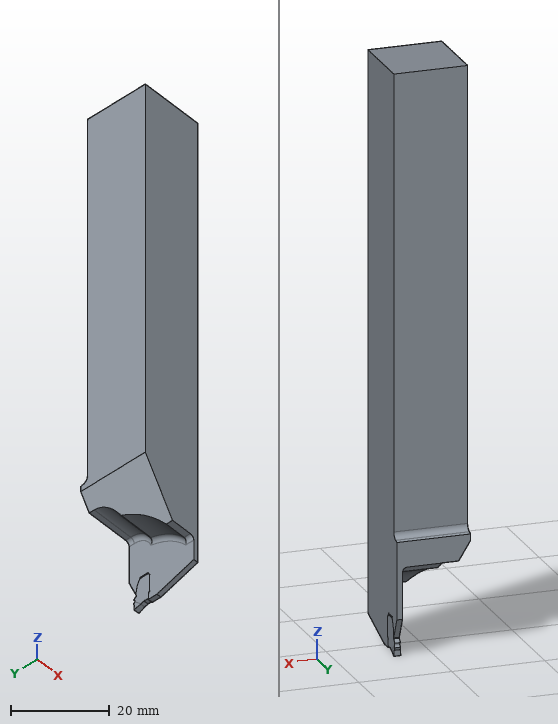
import cadquery as cq
import math


tool_length = 125.0
shank_size = 15.875

head_depth = 17.69
ledge_width = 0.75
ledge_fillet = 1.5
ledge_fillet_top_z = 26.6

flank_top_z = 23.55
flank_end_x = 8.2
flank_end_z = 10.35

nose_top_z = 8.3
heel_z = 3.95
heel_angle = 18.4
belly_z = 0.6

cutting_width = 1.5
side_flare = 0.135
blade_thickness = cutting_width - 2 * side_flare
blade_x = shank_size - blade_thickness
wall_fillet = 1.05
wall_front_z = 19.4
wall_front_length = 1.4
front_arc_middle = (13.3, 18.6)
wall_cusp = (10.95, 16.0)
rear_arc_middle = (5.9, 13.9)
rear_arc_end_y = 1.7

insert_top_z = 7.75
seat_clearance = 0.3
insert_back_y = 12.1
back_corner_drop = 0.4
back_corner_width = 0.4
foot_back_y = 12.4
foot_top_z = 2.45
foot_step_rise = 0.3
foot_bottom_z = 0.9
foot_front_y = 13.6
insert_front_top_y = 14.75
insert_front_middle = (15.5, 6.0)
neck = (15.75, 3.8)
neck_foot_drop = 0.2
rake_y = 16.45
rake_top_z = 2.9
rake_bottom_z = 1.9
chip_groove_depth = 0.35
tip_y = 16.25
tip_land_height = 1.3
relief_y = 14.5
relief_z = 0.6
flare_length = 1.7

cut_margin = 5.0


def side_plane(x):
    """YZ plane at the given X, with local axes along +Y and +Z."""
    return cq.Workplane(cq.Plane(origin=(x, 0, 0), xDir=(0, 1, 0), normal=(1, 0, 0)))


def insert_outline(x):
    """Side outline of the insert at the given X."""
    return (
        side_plane(x)
        .moveTo(foot_back_y, foot_bottom_z)
        .lineTo(foot_back_y, foot_top_z)
        .lineTo(insert_back_y, foot_top_z + foot_step_rise)
        .lineTo(insert_back_y, insert_top_z - back_corner_drop)
        .lineTo(insert_back_y + back_corner_width, insert_top_z)
        .lineTo(insert_front_top_y, insert_top_z)
        .threePointArc(insert_front_middle, neck)
        .lineTo(neck[0], neck[1] - neck_foot_drop)
        .lineTo(rake_y, rake_top_z)
        .threePointArc(
            (rake_y - chip_groove_depth, (rake_top_z + rake_bottom_z) / 2),
            (rake_y, rake_bottom_z),
        )
        .lineTo(tip_y, tip_land_height)
        .lineTo(tip_y, 0)
        .lineTo(relief_y, relief_z)
        .lineTo(foot_front_y, foot_bottom_z)
        .close()
    )


def make_holder_blank():
    """Shank and head, as one side outline extruded over the shank width."""
    fillet_run = head_depth - ledge_width - shank_size
    ledge_slope = math.asin(1 - fillet_run / ledge_fillet)
    half_sweep = (math.pi / 2 - ledge_slope) / 2
    fillet_middle = (
        shank_size + ledge_fillet * (1 - math.cos(half_sweep)),
        ledge_fillet_top_z - ledge_fillet * math.sin(half_sweep),
    )
    ledge_inner_z = ledge_fillet_top_z - ledge_fillet * math.cos(ledge_slope)
    ledge_outer_z = ledge_inner_z - ledge_width * math.tan(ledge_slope)
    heel_end_y = (heel_z - belly_z) / math.tan(math.radians(heel_angle))
    return (
        side_plane(0)
        .moveTo(0, tool_length)
        .lineTo(shank_size, tool_length)
        .lineTo(shank_size, ledge_fillet_top_z)
        .threePointArc(fillet_middle, (head_depth - ledge_width, ledge_inner_z))
        .lineTo(head_depth, ledge_outer_z)
        .lineTo(head_depth, nose_top_z)
        .lineTo(*neck)
        .lineTo(foot_back_y, belly_z)
        .lineTo(heel_end_y, belly_z)
        .lineTo(0, heel_z)
        .close()
        .extrude(shank_size)
    )


def make_flank_cut():
    """Wedge that slopes the -X side of the head."""
    rise_per_x = (flank_top_z - flank_end_z) / flank_end_x
    return (
        cq.Workplane("XZ")
        .moveTo(0, flank_top_z)
        .lineTo(flank_top_z / rise_per_x, 0)
        .lineTo(0, 0)
        .close()
        .extrude(-head_depth)
    )


def make_blade_cut():
    """Solid below the curved wall that leaves only the blade, rounded along the foot of the wall."""
    front_y = head_depth + cut_margin
    cut = (
        side_plane(-cut_margin)
        .moveTo(front_y, -cut_margin)
        .lineTo(front_y, wall_front_z)
        .lineTo(head_depth - wall_front_length, wall_front_z)
        .threePointArc(front_arc_middle, wall_cusp)
        .threePointArc(rear_arc_middle, (rear_arc_end_y, flank_end_z))
        .lineTo(-cut_margin, flank_end_z)
        .lineTo(-cut_margin, -cut_margin)
        .close()
        .extrude(blade_x + cut_margin)
    )
    tolerance = 0.01
    blade_side_edges = cut.faces(">X").edges()
    wall_foot = blade_side_edges.filter(lambda edge: edge.Center().z > flank_end_z - tolerance)
    return wall_foot.fillet(wall_fillet)


def make_insert_seat():
    """Through slot that fits the insert, with a small clearance above its flat top."""
    slot_x = blade_x - cut_margin
    slot_depth = blade_thickness + 2 * cut_margin
    slot = insert_outline(slot_x).extrude(slot_depth)
    clearance = (
        side_plane(slot_x)
        .moveTo(insert_back_y + back_corner_width, insert_top_z)
        .lineTo(insert_back_y + back_corner_width, insert_top_z + seat_clearance)
        .lineTo(insert_front_top_y, insert_top_z + seat_clearance)
        .lineTo(insert_front_top_y, insert_top_z)
        .close()
        .extrude(slot_depth)
    )
    return slot.union(clearance)


def make_holder():
    return make_holder_blank().cut(make_flank_cut()).cut(make_blade_cut()).cut(make_insert_seat())


def make_insert():
    """Insert flush with the blade sides, flaring on both sides toward the cutting tip."""
    blank = insert_outline(blade_x - side_flare).extrude(cutting_width)

    flare_step = flare_length / math.sqrt(2)
    section_plane = cq.Plane(
        origin=(blade_x + blade_thickness / 2, tip_y - flare_step, flare_step),
        xDir=(1, 0, 0),
        normal=(0, 1, 1),
    )
    half_body = blade_thickness / 2
    half_cut = cutting_width / 2
    reach = insert_top_z + cut_margin
    width_section = (
        cq.Workplane(section_plane)
        .moveTo(-half_body, -reach)
        .lineTo(-half_body, 0)
        .lineTo(-half_cut, flare_length)
        .lineTo(half_cut, flare_length)
        .lineTo(half_body, 0)
        .lineTo(half_body, -reach)
        .close()
        .extrude(reach, both=True)
    )
    return blank.intersect(width_section)


holder = make_holder()
insert = make_insert()
result = cq.Compound.makeCompound([holder.val(), insert.val()])